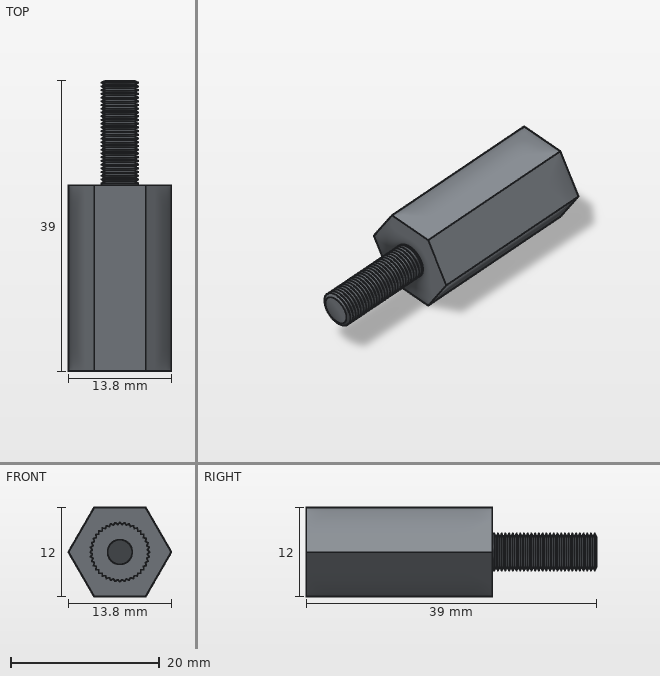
import cadquery as cq
import math

total_length = 39

across_corners = 13.85
housing_length = 25.0

bore_diameter = 3.3
core_diameter = 7.0
knurl_root_diameter = 7.4
knurl_tip_diameter = 8.0
knurl_teeth = 40
insert_depth = 10.0

stud_diameter = 5.0
stud_length = total_length - housing_length
shank_depth = insert_depth
thread_turns = 28
thread_pitch = stud_length / thread_turns
thread_depth = thread_pitch

stud_radius = stud_diameter / 2
thread_root_radius = stud_radius - thread_depth


def face_plane(y):
    """Sketch plane across the part axis at position y, with its normal along +Y."""
    return cq.Plane(origin=(0, y, 0), xDir=(1, 0, 0), normal=(0, 1, 0))


def polar_point(radius, angle):
    return (radius * math.cos(angle), radius * math.sin(angle))


def cylinder(diameter, start, length):
    """Cylinder on the part axis, from start towards +Y."""
    return cq.Workplane(face_plane(start)).circle(diameter / 2).extrude(length)


def knurled_prism():
    """Solid prism in the space of the insert, with V-shaped knurl teeth around it."""
    tooth_angle = 2 * math.pi / knurl_teeth
    outline = []
    for tooth in range(knurl_teeth):
        outline.append(polar_point(knurl_tip_diameter / 2, tooth * tooth_angle))
        outline.append(polar_point(knurl_root_diameter / 2, (tooth + 0.5) * tooth_angle))
    return cq.Workplane(face_plane(0)).polyline(outline).close().extrude(insert_depth)


def make_housing():
    """Hexagonal bar with a knurled recess for the insert and a socket for the stud."""
    corners = [polar_point(across_corners / 2, i * math.pi / 3) for i in range(6)]
    bar = cq.Workplane(face_plane(0)).polyline(corners).close().extrude(housing_length)
    recess = knurled_prism()
    socket = cylinder(stud_diameter, housing_length - shank_depth, shank_depth)
    return bar.cut(recess).cut(socket)


def make_insert():
    """Insert flush with the housing face: a bored core fused to a ring of knurl teeth."""
    core = cylinder(core_diameter, 0, insert_depth)
    bore = cylinder(bore_diameter, 0, insert_depth)
    knurl_ring = knurled_prism().cut(core)
    return core.cut(bore).union(knurl_ring, clean=False)


def make_stud():
    """Stud of ring-shaped V threads on a plain shank, revolved about Y."""
    shank_end = housing_length - shank_depth
    profile = cq.Workplane("XY").moveTo(0, total_length)
    for turn in range(thread_turns):
        turn_start = total_length - turn * thread_pitch
        profile = profile.lineTo(thread_root_radius, turn_start)
        profile = profile.lineTo(stud_radius, turn_start - thread_pitch / 2)
    profile = profile.lineTo(stud_radius, shank_end).lineTo(0, shank_end).close()
    return profile.revolve(360, (0, 0, 0), (0, 1, 0))


housing = make_housing()
insert = make_insert()
stud = make_stud()

result = cq.Compound.makeCompound([housing.val(), insert.val(), stud.val()])